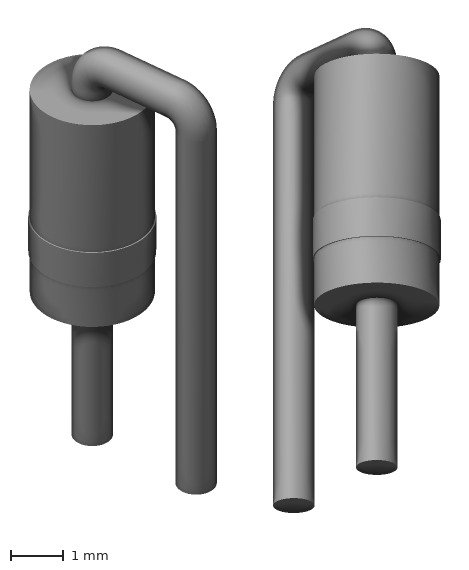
import cadquery as cq

total_height = 9.03
lead_diameter = 0.79
lead_pitch = 2.55
bend_radius = 0.5

body_diameter = 2.375
body_bottom = 3.3
body_top = 7.95
band_diameter = 2.43
band_bottom = 4.235
band_top = 5.02

lead_radius = lead_diameter / 2
bridge_height = total_height - lead_radius
bend_start = bridge_height - bend_radius


def cylinder(diameter, bottom, top):
    """Upright cylinder on the body axis."""
    return cq.Workplane("XY").workplane(offset=bottom).circle(diameter / 2).extrude(top - bottom)


def bent_lead():
    """Round wire up through the body axis, across the top and down beside the body."""
    path = (
        cq.Workplane("XZ")
        .lineTo(0, bend_start)
        .radiusArc((bend_radius, bridge_height), bend_radius)
        .lineTo(lead_pitch - bend_radius, bridge_height)
        .radiusArc((lead_pitch, bend_start), bend_radius)
        .lineTo(lead_pitch, 0)
    )
    return cq.Workplane("XY").circle(lead_radius).sweep(path)


body = cylinder(body_diameter, body_bottom, body_top)
band = cylinder(band_diameter, band_bottom, band_top)

result = body.union(band).union(bent_lead())